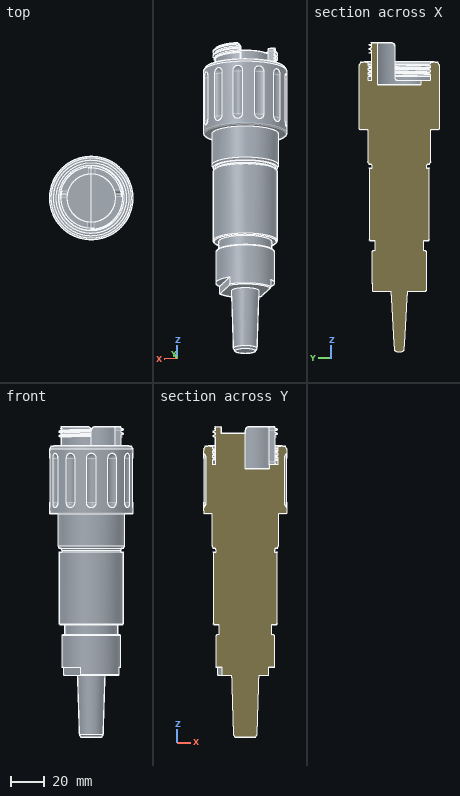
import cadquery as cq
import math

overall_height = 184.18
cable_tip_chamfer_height = 1.6
nut_bottom_z = 36.7
nut_flat_top_z = 41.5
nut_top_z = 61.0
rear_body_bottom_z = 66.7
rear_body_top_z = 109.8
groove_taper_bottom_z = 110.9
front_body_bottom_z = 112.0
front_body_taper_top_z = 113.5
ring_bottom_z = 132.5
ring_floor_z = 161.8
ring_top_z = 172.6

cable_tip_radius = 7.1
cable_top_radius = 8.2
cable_tip_chamfer = 1.0
nut_radius = 17.46
neck_radius = 15.8
rear_body_radius = 19.05
groove_radius = 17.5
groove_top_radius = 17.9
front_body_radius = 19.8
ring_diameter = 49.53
ring_radius = ring_diameter / 2
edge_chamfer = 0.6

flat_distance = 12.6
flat_angle = 25.0

ring_bore_radius = 19.4
ring_top_chamfer_width = 1.0
ring_top_chamfer_height = 1.7
ring_bottom_fillet = 0.6
bead_center_radius = 21.65
bead_radius = 0.9
bead_rise = 0.4
flute_count = 12
flute_radius = 4.0
flute_width = 6.2
flute_bottom_z = 136.2
flute_top_z = 168.4

sleeve_radius = 17.9
sleeve_bore_radius = 14.3
sleeve_split_x = 0.0
sleeve_split_y = 2.5
sleeve_corner_fillet = 2.3
sleeve_root_fillet = 1.6
sleeve_pocket_depth = 2.5
insert_drop = 3.9
insert_top_z = overall_height - insert_drop

thread_pitch = 2.54
thread_root_width = 1.9
thread_crest_width = 0.5
thread_embed = 0.3
sleeve_thread_radius = 19.2
sleeve_thread_bottom_z = 178.0
sleeve_thread_top_z = 183.0
sleeve_thread_angle = 90.0
ring_thread_radius = 18.5
ring_thread_bottom_z = 164.0
ring_thread_top_z = 171.5


def disc(radius, bottom_z, top_z):
    return cq.Workplane("XY").workplane(offset=bottom_z).circle(radius).extrude(top_z - bottom_z)


def make_body():
    """Cable, nut, neck and both body sections as one turned profile."""
    c = edge_chamfer
    profile = [
        (0, 0),
        (cable_tip_radius - cable_tip_chamfer, 0),
        (cable_tip_radius, cable_tip_chamfer_height),
        (cable_top_radius, nut_bottom_z),
        (nut_radius - c, nut_bottom_z),
        (nut_radius, nut_bottom_z + c),
        (nut_radius, nut_top_z - c),
        (nut_radius - c, nut_top_z),
        (neck_radius, nut_top_z),
        (neck_radius, rear_body_bottom_z),
        (rear_body_radius - c, rear_body_bottom_z),
        (rear_body_radius, rear_body_bottom_z + c),
        (rear_body_radius, rear_body_top_z),
        (groove_radius, rear_body_top_z),
        (groove_radius, groove_taper_bottom_z),
        (groove_top_radius, front_body_bottom_z),
        (rear_body_radius, front_body_bottom_z),
        (front_body_radius, front_body_taper_top_z),
        (front_body_radius, ring_floor_z),
        (0, ring_floor_z),
    ]
    return cq.Workplane("XZ").polyline(profile).close().revolve(360, (0, 0), (0, 1))


def cut_wrench_flats(body):
    """Two opposite flats at the bottom of the nut."""
    depth = nut_radius - flat_distance
    height = nut_flat_top_z - nut_bottom_z
    for angle in (flat_angle, flat_angle + 180):
        block = (
            cq.Workplane("XY")
            .box(depth, 2 * nut_radius, height, centered=(False, True, False))
            .translate((flat_distance, 0, nut_bottom_z))
            .rotate((0, 0, 0), (0, 0, 1), angle)
        )
        body = body.cut(block)
    return body


def make_flute_cutter():
    """Round-bottomed groove with ball ends, placed at +X."""
    half_width = flute_width / 2
    axis_radius = ring_radius + math.sqrt(flute_radius**2 - half_width**2)
    low_z = flute_bottom_z + half_width
    high_z = flute_top_z - half_width
    cutter = disc(flute_radius, low_z, high_z)
    for z in (low_z, high_z):
        cutter = cutter.union(cq.Workplane("XY").sphere(flute_radius).translate((0, 0, z)))
    return cutter.translate((axis_radius, 0, 0))


def make_thread(root_radius, crest_radius, bottom_z, top_z, start_angle):
    """Right-handed helical ridge from root to crest, trimmed flat at both ends."""
    base_radius = root_radius + math.copysign(thread_embed, root_radius - crest_radius)
    half_root = thread_root_width / 2
    half_crest = thread_crest_width / 2
    length = top_z - bottom_z + 2 * thread_pitch
    path = cq.Workplane(cq.Wire.makeHelix(thread_pitch, length, root_radius))
    ridge = (
        cq.Workplane("XZ")
        .polyline([
            (base_radius, -half_root),
            (crest_radius, -half_crest),
            (crest_radius, half_crest),
            (base_radius, half_root),
        ])
        .close()
        .sweep(path, isFrenet=True)
        .rotate((0, 0, 0), (0, 0, 1), start_angle)
        .translate((0, 0, bottom_z - thread_pitch))
    )
    return ridge.intersect(disc(ring_radius, bottom_z, top_z))


def make_ring():
    """Fluted coupling ring with a threaded socket and a bead around its mouth."""
    ring = disc(ring_radius, ring_bottom_z, ring_top_z)
    ring = ring.faces(">Z").edges().chamfer(ring_top_chamfer_height, ring_top_chamfer_width)
    ring = ring.faces("<Z").edges().fillet(ring_bottom_fillet)
    bead_center_z = ring_top_z + bead_rise - bead_radius
    bead = cq.Workplane("XY").add(
        cq.Solid.makeTorus(bead_center_radius, bead_radius, cq.Vector(0, 0, bead_center_z))
    )
    ring = ring.union(bead)
    ring = ring.cut(disc(ring_bore_radius, ring_floor_z, overall_height))
    flute = make_flute_cutter()
    for i in range(flute_count):
        ring = ring.cut(flute.rotate((0, 0, 0), (0, 0, 1), i * 360 / flute_count))
    thread = make_thread(
        ring_bore_radius, ring_thread_radius, ring_thread_bottom_z, ring_thread_top_z, 0
    )
    return ring.union(thread)


def make_sector_block(turn):
    """Square column over one quarter of the sleeve, rounded at its upper split corners.

    Concave fillets lead from its two split faces onto the socket floor.
    """
    height = overall_height - ring_floor_z
    block = (
        cq.Workplane("XY")
        .box(ring_radius, ring_radius, height, centered=False)
        .edges("(<X and >Z) or (<Y and >Z)")
        .fillet(sleeve_corner_fillet)
    )
    r = sleeve_root_fillet
    root_profile = cq.Workplane("XZ").lineTo(-r, 0).radiusArc((0, r), -r).close()
    root = root_profile.extrude(-ring_radius)
    mirrored_root = root.mirror("XZ").rotate((0, 0, 0), (0, 0, 1), 90)
    block = block.union(root).union(mirrored_root)
    block = block.rotate((0, 0, 0), (0, 0, 1), turn)
    return block.translate((sleeve_split_x, sleeve_split_y, ring_floor_z))


def make_sleeve():
    """Two opposite threaded quarters of a sleeve."""
    tube = disc(sleeve_radius, ring_floor_z, overall_height)
    thread = make_thread(
        sleeve_radius,
        sleeve_thread_radius,
        sleeve_thread_bottom_z,
        sleeve_thread_top_z,
        sleeve_thread_angle,
    )
    tube = tube.union(thread).cut(disc(sleeve_bore_radius, ring_floor_z, overall_height))
    return [tube.intersect(make_sector_block(turn)) for turn in (0, 180)]


def cut_sleeve_pocket(body):
    """Sink the sleeve bore below the floor of the ring socket."""
    return body.cut(disc(sleeve_bore_radius, ring_floor_z - sleeve_pocket_depth, ring_floor_z))


def make_insert():
    """Half-round block on the -X side of the sleeve bore."""
    empty_half = cq.Workplane("XY").box(
        ring_radius, 2 * ring_radius, overall_height, centered=(False, True, False)
    )
    plug = disc(sleeve_bore_radius, ring_floor_z - sleeve_pocket_depth, insert_top_z)
    return plug.cut(empty_half)


body = cut_wrench_flats(make_body())
result = cut_sleeve_pocket(body.union(make_ring())).union(make_insert())
for sector in make_sleeve():
    result = result.union(sector)